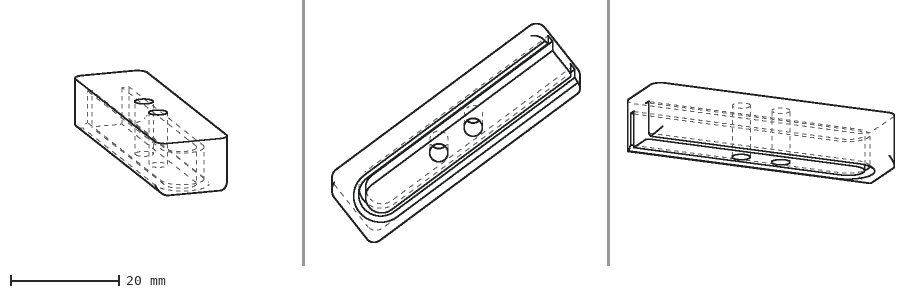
import cadquery as cq

LENGTH = 49.0
WIDTH = 14.0
HEIGHT = 10.0
EDGE_RADIUS = 2.0

HOLE_DIAMETER = 3.4
HOLE_SPACING = 8.0

ROOF_THICKNESS = 3.0
CHANNEL_HALF_WIDTH = 4.05
LEAD_IN = 0.95

CORE_WIDTH = 6.0
CORE_OFFSET_Y = -0.3
MOUTH_RADIUS = 0.6

CHANNEL_DEPTH = HEIGHT - ROOF_THICKNESS
END_X = LENGTH / 2
BEND_X = END_X - WIDTH / 2


def make_body():
    """Block with rounded corners; the long bottom edges are rounded out to the flat ends."""
    plan = cq.Workplane("XY").rect(LENGTH, WIDTH).extrude(HEIGHT).edges("|Z").fillet(EDGE_RADIUS)
    section = cq.Workplane("XY").box(LENGTH, WIDTH, HEIGHT, centered=(True, True, False))
    section = section.faces("<Z").edges("|X").fillet(EDGE_RADIUS)
    return plan.intersect(section)


def make_tongue(half_width, center_y, height):
    """Prism from the -X end, closed by a half circle at the bend."""
    return (
        cq.Workplane("XY")
        .moveTo(-END_X, center_y - half_width)
        .lineTo(BEND_X, center_y - half_width)
        .threePointArc((BEND_X + half_width, center_y), (BEND_X, center_y + half_width))
        .lineTo(-END_X, center_y + half_width)
        .close()
        .extrude(height)
    )


def make_lead_in():
    """Beveled bottom rim: straight along the lanes and conical around the bend."""
    rim_half_width = CHANNEL_HALF_WIDTH + LEAD_IN
    straight = (
        cq.Workplane("YZ", origin=(-END_X, 0, 0))
        .moveTo(-rim_half_width, 0)
        .lineTo(rim_half_width, 0)
        .lineTo(CHANNEL_HALF_WIDTH, LEAD_IN)
        .lineTo(-CHANNEL_HALF_WIDTH, LEAD_IN)
        .close()
        .extrude(END_X + BEND_X)
    )
    cone = cq.Solid.makeCone(rim_half_width, CHANNEL_HALF_WIDTH, LEAD_IN, pnt=cq.Vector(BEND_X, 0, 0))
    return straight.union(cq.Workplane(obj=cone))


def make_core():
    """Round-ended core with one rounded corner at the channel mouth."""
    core = make_tongue(CORE_WIDTH / 2, CORE_OFFSET_Y, CHANNEL_DEPTH)
    return core.faces("<X").edges("|Z and <Y").fillet(MOUTH_RADIUS)


def make_channel():
    """Void between the beveled outer wall and the core."""
    cavity = make_tongue(CHANNEL_HALF_WIDTH, 0, CHANNEL_DEPTH).union(make_lead_in())
    return cavity.cut(make_core())


def make_holes():
    """Through holes on the long centerline."""
    return (
        cq.Workplane("XY")
        .pushPoints([(side * HOLE_SPACING / 2, 0) for side in (-1, 1)])
        .circle(HOLE_DIAMETER / 2)
        .extrude(HEIGHT)
    )


result = make_body().cut(make_channel()).cut(make_holes())